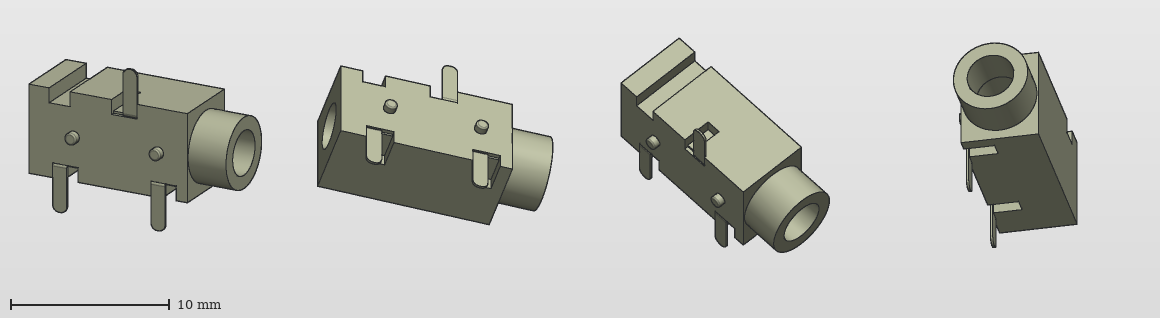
import cadquery as cq


housing_length = 11.3
housing_width = 5.0
housing_height = 6.0
mounting_face_y = -housing_width / 2
bore_diameter = 3.0

groove_start_x = 1.45
groove_width = 1.5
groove_depth = 1.0

overall_length = 14.0
barrel_length = overall_length - housing_length
barrel_diameter = 4.8

peg_diameter = 0.8
peg_length = 0.5
peg_end_radius = 0.1
peg_spacing = 6.0
first_peg_x = 3.2
peg_places = [first_peg_x, first_peg_x + peg_spacing]

sheet_thickness = 0.15
bend_outer_radius = 0.2
bend_inner_radius = bend_outer_radius - sheet_thickness
blade_width = 1.0
blade_reach = 2.25
blade_tip_radius = 0.45
flange_width = 1.8
flange_setback = 0.25

pocket_width = 1.0
pocket_depth = 2.0
pocket_height = 1.0

pocket_floor_z = housing_height / 2 - pocket_height
blade_tip_z = housing_height / 2 + blade_reach

terminal_places = [(7.7, 0), (1.7, 180), (8.7, 180)]


def box(x, y, z, length, width, height):
    """Box whose lowest corner is at (x, y, z)."""
    return cq.Workplane("XY").box(length, width, height, centered=False).translate((x, y, z))


def place(shape, edge_x, turn):
    """Turn a top-side shape about Y, then put its blade's outer edge at edge_x."""
    return shape.rotate((0, 0, 0), (0, 1, 0), turn).translate((edge_x, 0, 0))


def make_terminal():
    """Upward terminal: rounded blade, bend and flange, with the blade's outer edge at X = 0."""
    blade_back_y = mounting_face_y + sheet_thickness
    bend_end_y = mounting_face_y + bend_outer_radius
    flange_front_y = mounting_face_y + flange_setback
    flange_top_z = pocket_floor_z + sheet_thickness
    bend_end_z = pocket_floor_z + bend_outer_radius

    blade = (
        cq.Workplane("YZ")
        .moveTo(mounting_face_y, blade_tip_z)
        .lineTo(mounting_face_y, bend_end_z)
        .radiusArc((bend_end_y, pocket_floor_z), -bend_outer_radius)
        .lineTo(flange_front_y, pocket_floor_z)
        .lineTo(flange_front_y, flange_top_z)
        .lineTo(bend_end_y, flange_top_z)
        .radiusArc((blade_back_y, bend_end_z), bend_inner_radius)
        .lineTo(blade_back_y, blade_tip_z)
        .close()
        .extrude(-blade_width)
        .faces(">Z").edges("|Y").fillet(blade_tip_radius)
    )
    flange = box(
        -flange_width, flange_front_y, pocket_floor_z,
        flange_width, pocket_depth - flange_setback, sheet_thickness,
    )
    return blade.union(flange)


def make_terminal_recess():
    """Space cleared in the housing for an upward terminal."""
    pocket = box(
        -flange_width, mounting_face_y, pocket_floor_z,
        pocket_width, pocket_depth, pocket_height,
    )
    blade_slot = box(
        -blade_width, mounting_face_y, pocket_floor_z,
        blade_width, sheet_thickness, pocket_height,
    )
    return pocket.union(blade_slot).union(make_terminal())


def make_housing():
    block = cq.Workplane("XY").box(
        housing_length, housing_width, housing_height, centered=(False, True, True)
    )
    bore = cq.Workplane("YZ").circle(bore_diameter / 2).extrude(housing_length)
    groove = box(
        groove_start_x, mounting_face_y, housing_height / 2 - groove_depth,
        groove_width, housing_width, groove_depth,
    )
    housing = block.cut(bore).cut(groove)
    for edge_x, turn in terminal_places:
        housing = housing.cut(place(make_terminal_recess(), edge_x, turn))
    return housing


def make_barrel():
    return (
        cq.Workplane("YZ", origin=(housing_length, 0, 0))
        .circle(barrel_diameter / 2)
        .circle(bore_diameter / 2)
        .extrude(barrel_length)
    )


def make_peg(x):
    return (
        cq.Workplane("XZ", origin=(x, mounting_face_y, 0))
        .circle(peg_diameter / 2)
        .extrude(peg_length)
        .faces("<Y").edges().fillet(peg_end_radius)
    )


housing = make_housing()
barrel = make_barrel()
pegs = [make_peg(x) for x in peg_places]
terminals = [place(make_terminal(), edge_x, turn) for edge_x, turn in terminal_places]

result = cq.Compound.makeCompound(
    [body.solids().val() for body in [housing, barrel, *pegs, *terminals]]
)